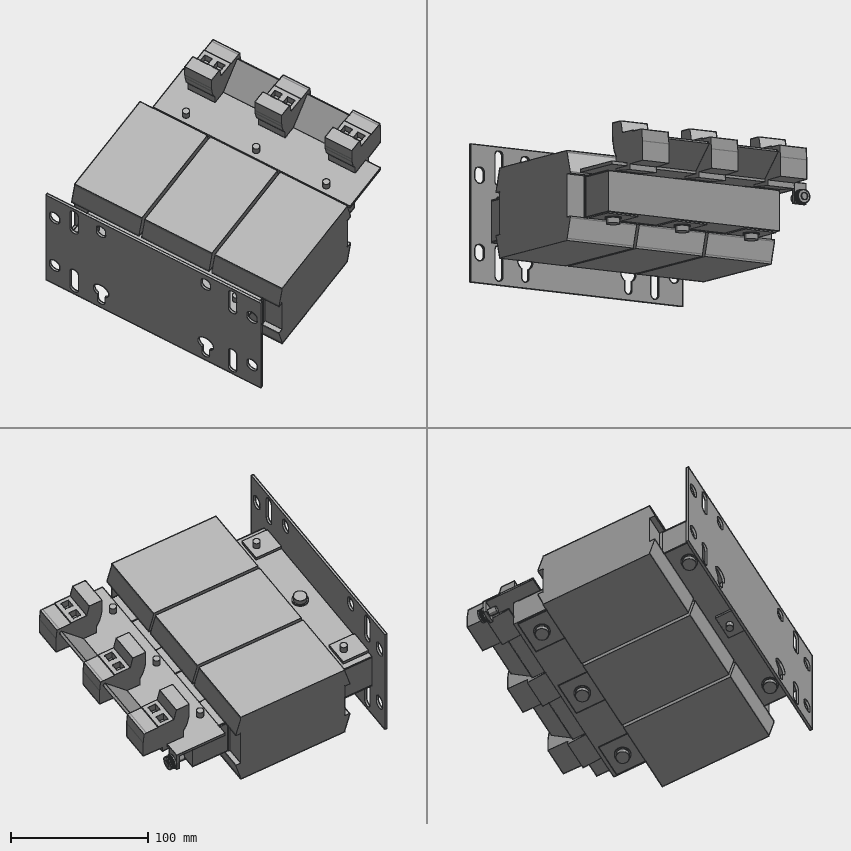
import cadquery as cq

PITCH = 60.3
COLUMNS = (-PITCH, 0, PITCH)
SIDES = (-1, 1)

PLATE_WIDTH = 185.0
PLATE_THICKNESS = 2.0
PLATE_HEIGHT = 102.0
PLATE_MID_Z = 4.7
EDGE_SLOT = (85.0, 28.5, 8.6, 12.1)
LONG_SLOT = (68.1, 35.0, 7.0, 26.2)
HANGER_X = 45.0
HANGER_SLOT_Z = 44.8
HANGER_SLOT_WIDTH = 8.0
HANGER_SLOT_LENGTH = 12.1
KEYHOLE_Z = -26.5
KEYHOLE_DIAMETER = 13.3
KEYHOLE_NECK = 6.5
KEYHOLE_BOTTOM_Z = -41.9

CORE_WIDTH = 149.5
CORE_HALF_HEIGHT = 14.9
CORE_END_Y = 155.5
INSULATION_HALF_HEIGHT = 15.9
INSULATION_INSET = 0.2
STRIP_WIDTH = 27.0
STRIP_END_Y = 152.5
COLLAR_END_Y = 124.5

COIL_WIDTH = 58.0
COIL_HALF_HEIGHT = 33.3
COIL_START_Y = 34.0
COIL_END_Y = 123.2
FLARE_REACH = 4.1
FLARE_TOP_Z = 31.7
LIP_FACE_HEIGHT = 1.2
FLARE_BOTTOM_Z = INSULATION_HALF_HEIGHT
END_INSULATION = 2.5
YOKE_INNER_Y = COIL_START_Y - END_INSULATION
YOKE_OUTER_Y = COIL_END_Y + END_INSULATION

SHEET = 2.3
SHEET_TOP_Z = INSULATION_HALF_HEIGHT + SHEET
FOOT_WIDTH = 19.5
FOOT_END_Y = 23.7
BRACKET_WIDTH = 169.5
BRACKET_START_Y = 133.7
BRACKET_END_Y = 175.2
TAB_WIDTH = 10.2
TAB_BOTTOM_Z = 2.7
TONGUE_START_Y = 172.3
TONGUE_RISE = 19.0

BOLT_DIAMETER = 5.3
BOLT_TIP_Z = 23.5
HEAD_DIAMETER = 10.0
HEAD_TOP_Z = 20.5
WASHER_DIAMETER = 12.1
WASHER_THICKNESS = 0.8
FRONT_BOLT_Y = 17.2
REAR_BOLT_Y = 140.0

SCREW_X = -79.9
SCREW_Z = 7.6
SCREW_START_Y = 166.6
SCREW_END_Y = 181.0
SCREW_DISCS = ((10.8, 176.6), (9.4, 177.4), (HEAD_DIAMETER, 178.2), (9.4, 179.0), (HEAD_DIAMETER, 180.1))

TERMINAL_WIDTH = 23.1
TERMINAL_TOP_Z = 50.3
TERMINAL_PROFILE = [
    (195.8, 17.0), (195.8, 31.3), (195.0, 40.1), (193.0, 40.3), (183.0, 40.5), (182.9, 41.1), (169.5, 41.3),
    (167.5, TERMINAL_TOP_Z), (156.5, TERMINAL_TOP_Z), (156.5, 40.3), (156.8, 36.6), (158.5, 30.0),
    (161.1, 24.9), (161.1, 14.5), (179.4, 12.5), (179.4, 16.6),
]
WIRE_HOLE = 6.3
WIRE_HOLE_OFFSET_X = 5.5
WIRE_HOLE_Y = 176.0
WIRE_HOLE_FLOOR_Z = 35.2


def block(x, y, z):
    """Box from its (low, high) limits along each axis."""
    return cq.Workplane("XY").box(x[1] - x[0], y[1] - y[0], z[1] - z[0], centered=False).translate(
        (x[0], y[0], z[0])
    )


def centred_block(mid_x, width, y, z):
    return block((mid_x - width / 2, mid_x + width / 2), y, z)


def extrude_along_x(points, mid_x, width):
    """Extrude a (Y, Z) outline along X, centred on mid_x."""
    return cq.Workplane("YZ").polyline(points).close().extrude(width / 2, both=True).translate((mid_x, 0, 0))


def upright_cylinder(x, y, diameter, z):
    return cq.Workplane("XY", origin=(x, y, z[0])).circle(diameter / 2).extrude(z[1] - z[0])


def cylinder_along_y(x, z, diameter, y):
    return cq.Workplane("XZ", origin=(x, y[0], z)).circle(diameter / 2).extrude(y[0] - y[1])


def make_plate():
    def slots(offset_x, mid_z, width, length):
        places = [(side * offset_x, mid_z) for side in SIDES]
        return cq.Workplane("XZ").pushPoints(places).slot2D(length, width, 90).extrude(-PLATE_THICKNESS)

    plate = centred_block(
        0, PLATE_WIDTH, (0, PLATE_THICKNESS),
        (PLATE_MID_Z - PLATE_HEIGHT / 2, PLATE_MID_Z + PLATE_HEIGHT / 2),
    )
    for offset_x, offset_z, width, length in (EDGE_SLOT, LONG_SLOT):
        for side in SIDES:
            plate = plate.cut(slots(offset_x, PLATE_MID_Z + side * offset_z, width, length))
    plate = plate.cut(slots(HANGER_X, HANGER_SLOT_Z, HANGER_SLOT_WIDTH, HANGER_SLOT_LENGTH))

    neck_length = KEYHOLE_Z - KEYHOLE_BOTTOM_Z
    plate = plate.cut(slots(HANGER_X, KEYHOLE_Z - neck_length / 2, KEYHOLE_NECK, neck_length))
    for side in SIDES:
        plate = plate.cut(
            cylinder_along_y(side * HANGER_X, KEYHOLE_Z, KEYHOLE_DIAMETER, (0, PLATE_THICKNESS))
        )
    return plate


def make_core():
    yoke_z = (-CORE_HALF_HEIGHT, CORE_HALF_HEIGHT)
    wrap_z = (-INSULATION_HALF_HEIGHT, INSULATION_HALF_HEIGHT)
    wrap_width = CORE_WIDTH - 2 * INSULATION_INSET
    core = centred_block(0, CORE_WIDTH, (PLATE_THICKNESS, YOKE_INNER_Y), yoke_z)
    core = core.union(centred_block(0, CORE_WIDTH, (YOKE_OUTER_Y, CORE_END_Y), yoke_z))
    core = core.union(centred_block(0, wrap_width, (PLATE_THICKNESS, COIL_START_Y), wrap_z))
    core = core.union(centred_block(0, wrap_width, (COIL_END_Y, COLLAR_END_Y), wrap_z))

    strips_width = 2 * PITCH + STRIP_WIDTH
    core = core.union(centred_block(0, strips_width, (COIL_END_Y, YOKE_OUTER_Y), wrap_z))
    for x in COLUMNS:
        core = core.union(centred_block(x, STRIP_WIDTH, (COIL_END_Y, STRIP_END_Y), wrap_z))
    return core


def make_coil(x):
    coil = centred_block(
        x, COIL_WIDTH, (COIL_START_Y, COIL_END_Y), (-COIL_HALF_HEIGHT, COIL_HALF_HEIGHT)
    )
    for end_y, outward in ((COIL_START_Y, -1), (COIL_END_Y, 1)):
        lip_y = end_y + outward * FLARE_REACH
        for side in SIDES:
            lip = [
                (end_y, side * FLARE_TOP_Z),
                (lip_y, side * (FLARE_BOTTOM_Z + LIP_FACE_HEIGHT)),
                (lip_y, side * FLARE_BOTTOM_Z),
                (end_y, side * FLARE_BOTTOM_Z),
            ]
            coil = coil.union(extrude_along_x(lip, x, COIL_WIDTH))
    return coil


def make_bolt(x, y, tip_side):
    """Bolt through a yoke, its tip on the tip_side of Z and its head and washer on the other."""
    washer_z = INSULATION_HALF_HEIGHT + WASHER_THICKNESS
    bolt = upright_cylinder(x, y, BOLT_DIAMETER, (0, BOLT_TIP_Z))
    bolt = bolt.union(upright_cylinder(x, y, WASHER_DIAMETER, (-washer_z, 0)))
    bolt = bolt.union(upright_cylinder(x, y, HEAD_DIAMETER, (-HEAD_TOP_Z, 0)))
    return bolt if tip_side > 0 else bolt.mirror("XY")


def make_foot(x, side):
    """Foot joining the plate to the yoke, on the tip side of its bolt."""
    foot = centred_block(
        x, FOOT_WIDTH, (PLATE_THICKNESS, FOOT_END_Y), (INSULATION_HALF_HEIGHT, SHEET_TOP_Z)
    )
    return foot if side > 0 else foot.mirror("XY")


def make_bracket():
    bracket = centred_block(
        0, BRACKET_WIDTH, (BRACKET_START_Y, BRACKET_END_Y), (INSULATION_HALF_HEIGHT, SHEET_TOP_Z)
    )
    tab_x = -BRACKET_WIDTH / 2
    tab = block(
        (tab_x, tab_x + TAB_WIDTH), (BRACKET_END_Y - SHEET, BRACKET_END_Y), (TAB_BOTTOM_Z, SHEET_TOP_Z)
    )
    edge = SHEET / 2 ** 0.5
    tongue = [
        (TONGUE_START_Y, SHEET_TOP_Z),
        (TONGUE_START_Y + TONGUE_RISE, SHEET_TOP_Z + TONGUE_RISE),
        (TONGUE_START_Y + TONGUE_RISE + edge, SHEET_TOP_Z + TONGUE_RISE - edge),
        (TONGUE_START_Y + edge, SHEET_TOP_Z - edge),
    ]
    return bracket.union(tab).union(extrude_along_x(tongue, 0, 2 * PITCH))


def make_earth_screw():
    screw = cylinder_along_y(SCREW_X, SCREW_Z, BOLT_DIAMETER, (SCREW_START_Y, SCREW_END_Y))
    start_y = BRACKET_END_Y
    for diameter, end_y in SCREW_DISCS:
        screw = screw.union(cylinder_along_y(SCREW_X, SCREW_Z, diameter, (start_y, end_y)))
        start_y = end_y
    return screw


def make_terminal(x):
    terminal = extrude_along_x(TERMINAL_PROFILE, x, TERMINAL_WIDTH)
    wire_hole_y = (WIRE_HOLE_Y - WIRE_HOLE / 2, WIRE_HOLE_Y + WIRE_HOLE / 2)
    for side in SIDES:
        hole_x = x + side * WIRE_HOLE_OFFSET_X
        terminal = terminal.cut(
            centred_block(hole_x, WIRE_HOLE, wire_hole_y, (WIRE_HOLE_FLOOR_Z, TERMINAL_TOP_Z))
        )
    return terminal


result = make_plate().union(make_core()).union(make_bracket()).union(make_earth_screw())
for column_x in COLUMNS:
    foot_side = -1 if column_x == 0 else 1
    result = result.union(make_coil(column_x))
    result = result.union(make_foot(column_x, foot_side))
    result = result.union(make_bolt(column_x, FRONT_BOLT_Y, foot_side))
    result = result.union(make_bolt(column_x, REAR_BOLT_Y, 1))
    result = result.union(make_terminal(column_x))